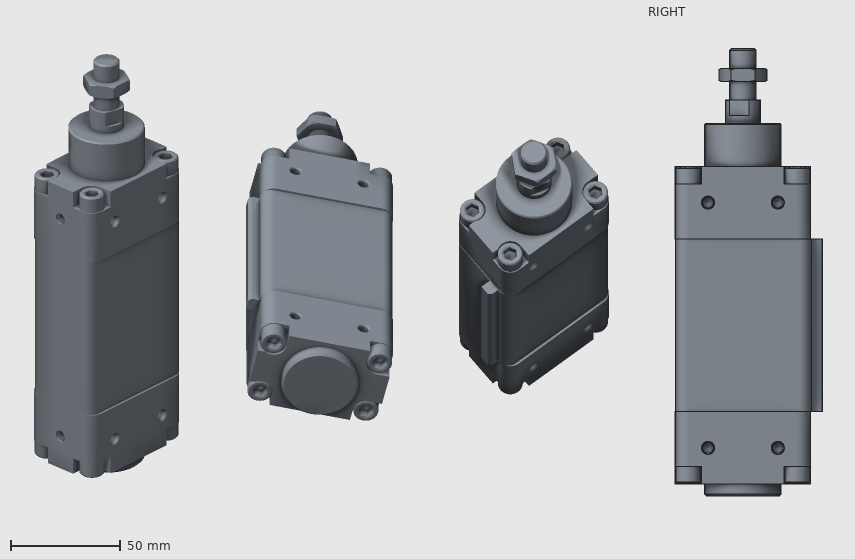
import cadquery as cq
import math

TOTAL_HEIGHT = 204.5
BOSS_HEIGHT = 5.5
CAP_HEIGHT = 33.1
TUBE_HEIGHT = 79.0
COLLAR_HEIGHT = 19.6
LOWER_CAP_Z = BOSS_HEIGHT
TUBE_Z = LOWER_CAP_Z + CAP_HEIGHT
UPPER_CAP_Z = TUBE_Z + TUBE_HEIGHT
COLLAR_Z = UPPER_CAP_Z + CAP_HEIGHT
COLLAR_TOP_Z = COLLAR_Z + COLLAR_HEIGHT

CAP_WIDTH = 40.0
CAP_DEPTH = 62.0
TOTAL_DEPTH = 67.3
CAP_CORNER_RADIUS = 6.1

TUBE_WIDTH = 38.0
TUBE_DEPTH = 62.2
TUBE_CORNER_RADIUS = 5.3
TUBE_SHIFT = 0.2

RAIL_LEFT = -13.0
RAIL_RIGHT = -7.2
RAIL_BACK = TOTAL_DEPTH - CAP_DEPTH / 2
RAIL_CHAMFER = 1.5

COLLAR_DIAMETER = 35.0
COLLAR_CHAMFER = 0.6
BOSS_CHAMFER = 1.0

SCREW_X = CAP_WIDTH / 2 - CAP_CORNER_RADIUS
SCREW_Y = CAP_DEPTH / 2 - CAP_CORNER_RADIUS
RECESS_DIAMETER = 12.0
RECESS_DEPTH = 8.0
BACK_SLOT_HALF_WIDTH = 5.1
HEAD_DIAMETER = 11.5
HEAD_CHAMFER = 0.6
HEAD_SINK = 0.5
SOCKET_MOUTH_DIAMETER = 8.0
SOCKET_MOUTH_DEPTH = 0.5
SOCKET_WIDTH = 6.0
SOCKET_DEPTH = 4.0
SOCKET_POINT_DIAMETER = 4.0

PORT_MOUTH_DIAMETER = 5.5
PORT_MOUTH_DEPTH = 1.5
PORT_DIAMETER = 4.0
PORT_DEPTH = 4.0
SIDE_HOLE_DIAMETER = 5.0
SIDE_HOLE_MOUTH_DIAMETER = 6.0
SIDE_HOLE_DEPTH = 4.0
SIDE_HOLE_Y = 16.0
DRILL_POINT_ANGLE = 118.0

ROD_DIAMETER = 16.0
ROD_SHOULDER_Z = 181.0
THREAD_DIAMETER = 12.0
THREAD_CHAMFER = 0.8
FLATS_WIDTH = 13.0
FLATS_LENGTH = 7.0
FLATS_TURN = -15.0

NUT_WIDTH = 19.0
NUT_HEIGHT = 6.1
NUT_Z = 189.4
NUT_FACE_DIAMETER = 19.6
NUT_CHAMFER_HEIGHT = 0.6


def cylinder(diameter, z_from, z_to):
    return cq.Workplane("XY").workplane(offset=z_from).circle(diameter / 2).extrude(z_to - z_from)


def rounded_block(width, depth, corner_radius, z_from, height):
    block = cq.Workplane("XY").workplane(offset=z_from).rect(width, depth).extrude(height)
    return block.edges("|Z").fillet(corner_radius)


def drill_point_height(radius):
    return radius / math.tan(math.radians(DRILL_POINT_ANGLE / 2))


def drilled_hole(diameter, mouth_diameter, depth):
    """Cutter for a countersunk blind hole with a drill point, going down from Z = 0."""
    radius = diameter / 2
    mouth_radius = mouth_diameter / 2
    profile = [
        (0, 0),
        (mouth_radius, 0),
        (radius, radius - mouth_radius),
        (radius, -depth),
        (0, -depth - drill_point_height(radius)),
    ]
    return cq.Workplane("XZ").polyline(profile).close().revolve(360, (0, 0, 0), (0, 1, 0))


def corner_recess(y_slot_half_width):
    """Cutter for a screw recess open to both sides of the +X +Y corner, going down from Z = 0."""
    reach = 2 * CAP_CORNER_RADIUS
    recess = cylinder(RECESS_DIAMETER, -RECESS_DEPTH, 0)
    x_slot = cq.Workplane("XY").box(reach, RECESS_DIAMETER, RECESS_DEPTH, centered=(False, True, False))
    y_slot = cq.Workplane("XY").box(2 * y_slot_half_width, reach, RECESS_DEPTH, centered=(True, False, False))
    return recess.union(x_slot.union(y_slot).translate((0, 0, -RECESS_DEPTH)))


def hexagon_prism(width, height):
    """Prism on Z = 0 with two of its flats facing +X and -X."""
    across_corners = width / math.cos(math.radians(30))
    prism = cq.Workplane("XY").polygon(6, across_corners).extrude(height)
    return prism.rotate((0, 0, 0), (0, 0, 1), 90)


def screw_socket():
    """Cutter for a countersunk hexagon socket with a drill point, going down from Z = 0."""
    mouth_radius = SOCKET_MOUTH_DIAMETER / 2
    profile = [(0, 0), (mouth_radius, 0), (SOCKET_WIDTH / 2, -SOCKET_MOUTH_DEPTH), (0, -SOCKET_MOUTH_DEPTH)]
    mouth = cq.Workplane("XZ").polyline(profile).close().revolve(360, (0, 0, 0), (0, 1, 0))
    hexagon = hexagon_prism(SOCKET_WIDTH, SOCKET_DEPTH).translate((0, 0, -SOCKET_DEPTH))
    point_radius = SOCKET_POINT_DIAMETER / 2
    point_profile = [(0, 0), (point_radius, 0), (0, -drill_point_height(point_radius))]
    point = cq.Workplane("XZ").polyline(point_profile).close().revolve(360, (0, 0, 0), (0, 1, 0))
    return mouth.union(hexagon).union(point.translate((0, 0, -SOCKET_DEPTH)))


def screw_head():
    """Socket head standing in a recess whose mouth is at Z = 0."""
    head = cylinder(HEAD_DIAMETER, -RECESS_DEPTH, -HEAD_SINK).faces(">Z").chamfer(HEAD_CHAMFER)
    return head.cut(screw_socket().translate((0, 0, -HEAD_SINK)))


def make_end_cap():
    """End cap with its inner face at Z = 0 and its screw heads at the top."""
    cap = rounded_block(CAP_WIDTH, CAP_DEPTH, CAP_CORNER_RADIUS, 0, CAP_HEIGHT)
    back_recess = corner_recess(BACK_SLOT_HALF_WIDTH)
    front_recess = corner_recess(RECESS_DIAMETER / 2).mirror("XZ")
    head = screw_head()
    for side_y, right_recess in ((1, back_recess), (-1, front_recess)):
        for side_x, recess in ((1, right_recess), (-1, right_recess.mirror("YZ"))):
            place = (side_x * SCREW_X, side_y * SCREW_Y, CAP_HEIGHT)
            cap = cap.cut(recess.translate(place))
            cap = cap.union(head.translate(place))

    middle_z = CAP_HEIGHT / 2
    side_hole = drilled_hole(SIDE_HOLE_DIAMETER, SIDE_HOLE_MOUTH_DIAMETER, SIDE_HOLE_DEPTH)
    for side_x in (1, -1):
        turned = side_hole.rotate((0, 0, 0), (0, 1, 0), side_x * 90)
        for y in (SIDE_HOLE_Y, -SIDE_HOLE_Y):
            cap = cap.cut(turned.translate((side_x * CAP_WIDTH / 2, y, middle_z)))

    port = cylinder(PORT_MOUTH_DIAMETER, -PORT_MOUTH_DEPTH, 0).union(cylinder(PORT_DIAMETER, -PORT_DEPTH, 0))
    port = port.rotate((0, 0, 0), (1, 0, 0), 90)
    return cap.cut(port.translate((0, -CAP_DEPTH / 2, middle_z)))


def make_rail():
    outline = [
        (RAIL_LEFT, 0),
        (RAIL_LEFT, RAIL_BACK - RAIL_CHAMFER),
        (RAIL_LEFT + RAIL_CHAMFER, RAIL_BACK),
        (RAIL_RIGHT, RAIL_BACK),
        (RAIL_RIGHT, 0),
    ]
    return cq.Workplane("XY").workplane(offset=TUBE_Z).polyline(outline).close().extrude(TUBE_HEIGHT)


def make_housing():
    tube = rounded_block(TUBE_WIDTH, TUBE_DEPTH, TUBE_CORNER_RADIUS, TUBE_Z, TUBE_HEIGHT)
    tube = tube.translate((0, TUBE_SHIFT, 0)).union(make_rail())
    upper_cap = make_end_cap().translate((0, 0, UPPER_CAP_Z))
    lower_cap = make_end_cap().mirror("XY").translate((0, 0, TUBE_Z))
    collar = cylinder(COLLAR_DIAMETER, COLLAR_Z, COLLAR_TOP_Z).faces(">Z").chamfer(COLLAR_CHAMFER)
    boss = cylinder(COLLAR_DIAMETER, 0, BOSS_HEIGHT).faces("<Z").chamfer(BOSS_CHAMFER)
    return tube.union(upper_cap).union(lower_cap).union(collar).union(boss)


def make_rod():
    """Rod standing on the collar, with two wrench flats below its shoulder."""
    shank = cylinder(ROD_DIAMETER, COLLAR_TOP_Z, ROD_SHOULDER_Z)
    flats_z = ROD_SHOULDER_Z - FLATS_LENGTH
    keep = cq.Workplane("XY").box(FLATS_WIDTH, ROD_DIAMETER, FLATS_LENGTH, centered=(True, True, False))
    keep = keep.rotate((0, 0, 0), (0, 0, 1), FLATS_TURN).translate((0, 0, flats_z))
    flats = cylinder(2 * ROD_DIAMETER, flats_z, ROD_SHOULDER_Z).cut(keep)
    thread = cylinder(THREAD_DIAMETER, ROD_SHOULDER_Z, TOTAL_HEIGHT).faces(">Z").chamfer(THREAD_CHAMFER)
    return shank.cut(flats).union(thread)


def make_nut():
    """Hexagon nut with corners on the Y axis, chamfered on both faces."""
    corner_radius = NUT_WIDTH / 2 / math.cos(math.radians(30))
    face_radius = NUT_FACE_DIAMETER / 2
    profile = [
        (0, 0),
        (face_radius, 0),
        (corner_radius, NUT_CHAMFER_HEIGHT),
        (corner_radius, NUT_HEIGHT - NUT_CHAMFER_HEIGHT),
        (face_radius, NUT_HEIGHT),
        (0, NUT_HEIGHT),
    ]
    envelope = cq.Workplane("XZ").polyline(profile).close().revolve(360, (0, 0, 0), (0, 1, 0))
    nut = hexagon_prism(NUT_WIDTH, NUT_HEIGHT).intersect(envelope).cut(cylinder(THREAD_DIAMETER, 0, NUT_HEIGHT))
    return nut.translate((0, 0, NUT_Z))


housing = make_housing()
rod = make_rod()
nut = make_nut()
result = cq.Compound.makeCompound([housing.val(), rod.val(), nut.val()])